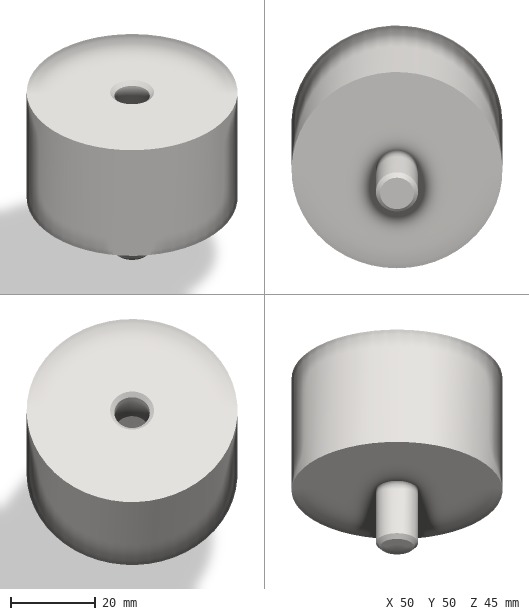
import cadquery as cq

block_diameter = 50.0
block_height = 30.0
rubber_rim = 1.0

plate_diameter = block_diameter - 2 * rubber_rim
plate_thickness = 2.0

stud_diameter = 10.0
stud_length = 15.0
stud_chamfer = 1.0

hole_diameter = 8.4
hole_depth = 10.0
countersink_diameter = 10.4
countersink_depth = (countersink_diameter - hole_diameter) / 2
hub_diameter = 14.0
hub_floor = 2.0
hub_height = hole_depth + hub_floor


def cylinder(diameter, bottom, height):
    """Upright cylinder on the Z axis."""
    return cq.Workplane("XY").workplane(offset=bottom).circle(diameter / 2).extrude(height)


def make_insert_blank():
    """Upper plate with its central hub, before the hole is cut."""
    plate = cylinder(plate_diameter, block_height - plate_thickness, plate_thickness)
    hub = cylinder(hub_diameter, block_height - hub_height, hub_height)
    return plate.union(hub)


def make_insert():
    """Upper plate and hub with a blind, countersunk hole."""
    hole = cylinder(hole_diameter, block_height - hole_depth, hole_depth)
    countersink = cq.Workplane(
        cq.Solid.makeCone(
            hole_diameter / 2,
            countersink_diameter / 2,
            countersink_depth,
            pnt=cq.Vector(0, 0, block_height - countersink_depth),
        )
    )
    return make_insert_blank().cut(hole).cut(countersink)


def make_lower_plate():
    """Plate that sits in the lower end of the block."""
    return cylinder(plate_diameter, 0, plate_thickness)


def make_stud():
    """Lower plate with the stud, chamfered at its free end."""
    shank = cylinder(stud_diameter, -stud_length, stud_length)
    shank = shank.faces("<Z").chamfer(stud_chamfer)
    return make_lower_plate().union(shank)


def make_rubber():
    """Rubber block with a matching recess for each metal end part."""
    block = cylinder(block_diameter, 0, block_height)
    return block.cut(make_insert_blank()).cut(make_lower_plate())


rubber = make_rubber()
insert = make_insert()
stud = make_stud()

result = cq.Compound.makeCompound([rubber.val(), insert.val(), stud.val()])